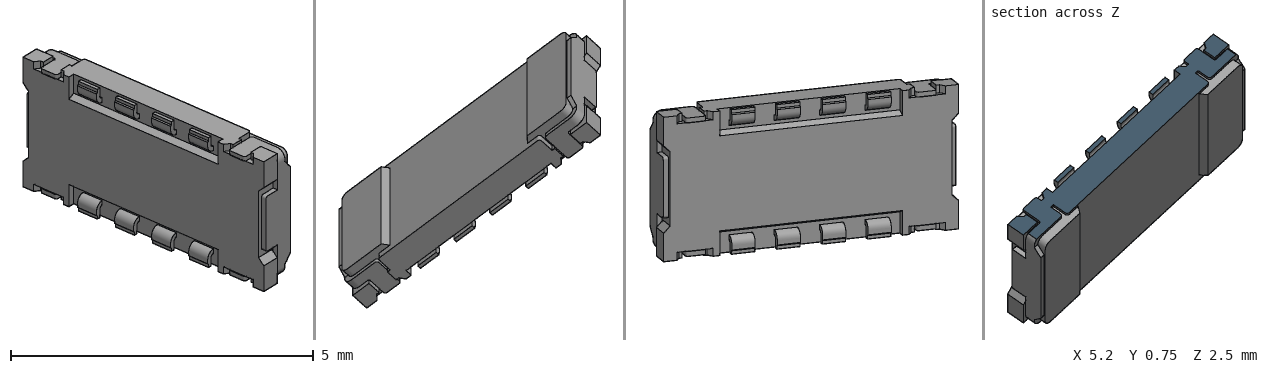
import cadquery as cq
import math


base_length = 5.2
height = 2.5
base_depth = 0.345
body_half_length = 1.80
body_depth = 0.614
body_corner_radius = 0.05
shoulder_half_length = 1.858
shoulder_depth = 0.31
core_half_length = 2.485
core_half_height = 1.112

frame_half_length = 2.58
frame_half_height = 1.198
frame_front = 0.376
frame_back = 0.565
frame_bend_radius = 0.17
frame_corner_radius = 0.05

leg_inner_x = shoulder_half_length
leg_outer_x = 2.208
leg_tip_y = -0.02
leg_tip_radius = 0.04
leg_clearance = 0.03
leg_root_radius = 0.03

relief_depth = 0.095
relief_outer_x = 2.298
relief_inner_x = 1.797
relief_taper = 0.07

plate_half_length = 2.495
plate_half_height = core_half_height
plate_back = 0.73
plate_corner_radius = 0.13
plate_inner_x = 1.62
plate_foot_x = 1.53

skin_back = 0.707
skin_half_height = 0.99
skin_bevel = 0.16
tab_front = 0.075
tab_half_height = 0.53
tab_corner_radius = 0.045
end_recess_half_height = 0.64

pocket_half_length = 1.61
pocket_depth = 0.125
pocket_floor_z = 0.882
pocket_front_z = 0.822
contact_count = 4
contact_pitch = 0.8
contact_width = 0.41
contact_front = -0.02
contact_tip_front = 0.0
contact_back = 0.066
contact_step_z = 1.19
contact_bend_z = 1.093
contact_outer_radius = pocket_depth - contact_front
contact_inner_radius = pocket_depth - contact_back

half_length = base_length / 2
half_height = height / 2
overlap = 0.02
sides = (-1, 1)


def span_box(x_range, y_range, z_range):
    """Axis-aligned box between the given limits."""
    lower = cq.Vector(x_range[0], y_range[0], z_range[0])
    upper = cq.Vector(x_range[1], y_range[1], z_range[1])
    size = upper - lower
    return cq.Workplane("XY").box(size.x, size.y, size.z, centered=False).translate(lower)


def centred_block(half_x, y_range, half_z):
    """Box centred on the Y axis."""
    return span_box((-half_x, half_x), y_range, (-half_z, half_z))


def extrude_along_z(points, z_range):
    """Prism from an X-Y outline between two heights."""
    start, end = z_range
    return cq.Workplane("XY", origin=(0, 0, start)).polyline(points).close().extrude(end - start)


def mirrored_x(shape):
    return shape.union(shape.mirror("YZ"))


def mirrored_z(shape):
    return shape.union(shape.mirror("XY"))


def make_housing():
    base = centred_block(half_length, (0, base_depth), half_height)
    body = centred_block(body_half_length, (0, body_depth), half_height)
    body = body.edges("|Z and >Y").fillet(body_corner_radius)
    return base.union(body)


def make_end_recess():
    """Recess in the +X end face, with 45 degree side walls."""
    mouth_half_height = end_recess_half_height + half_length - core_half_length
    outline = [
        (core_half_length, -end_recess_half_height),
        (half_length, -mouth_half_height),
        (half_length, mouth_half_height),
        (core_half_length, end_recess_half_height),
    ]
    return cq.Workplane("XZ").polyline(outline).close().extrude(-base_depth)


def make_leg_window():
    """Opening for the leg at +X +Z, widening towards the front face."""
    z_range = (core_half_height, half_height)
    window_outer_x = leg_outer_x + leg_clearance
    slot = span_box((leg_inner_x, window_outer_x), (0, frame_front), z_range)
    shoulder_gap = span_box((body_half_length, leg_inner_x), (shoulder_depth, frame_front), z_range)
    relief = extrude_along_z(
        [
            (relief_inner_x, relief_depth),
            (relief_outer_x, relief_depth),
            (relief_outer_x + relief_taper, 0),
            (relief_inner_x - relief_taper, 0),
        ],
        z_range,
    )
    return slot.union(shoulder_gap).union(relief)


def make_pocket():
    """Contact pocket along the top edge, with a sloping lower wall."""
    outline = [
        (0, pocket_front_z),
        (pocket_depth, pocket_floor_z),
        (pocket_depth, half_height),
        (0, half_height),
    ]
    pocket = cq.Workplane("YZ", origin=(-pocket_half_length, 0, 0)).polyline(outline).close()
    return pocket.extrude(2 * pocket_half_length)


def make_contact(x):
    """Bent contact: a leg out of the pocket floor, a quarter bend and a stepped tip."""
    step_height = contact_tip_front - contact_front
    diagonal = math.sqrt(0.5)
    outer_mid = (
        pocket_depth - contact_outer_radius * diagonal,
        contact_bend_z - contact_outer_radius * diagonal,
    )
    inner_mid = (
        pocket_depth - contact_inner_radius * diagonal,
        contact_bend_z - contact_inner_radius * diagonal,
    )
    outer_leg_z = contact_bend_z - contact_outer_radius
    inner_leg_z = contact_bend_z - contact_inner_radius
    root_y = pocket_depth + overlap
    profile = (
        cq.Workplane("YZ", origin=(x - contact_width / 2, 0, 0))
        .moveTo(contact_tip_front, half_height)
        .lineTo(contact_tip_front, contact_step_z)
        .lineTo(contact_front, contact_step_z - step_height)
        .lineTo(contact_front, contact_bend_z)
        .threePointArc(outer_mid, (pocket_depth, outer_leg_z))
        .lineTo(root_y, outer_leg_z)
        .lineTo(root_y, inner_leg_z)
        .lineTo(pocket_depth, inner_leg_z)
        .threePointArc(inner_mid, (contact_back, contact_bend_z))
        .lineTo(contact_back, half_height)
        .close()
    )
    return profile.extrude(contact_width)


def round_edges_along_z(shape, x, y, radius):
    """Fillet every edge parallel to Z at the given X and Y."""
    nearby = cq.selectors.BoxSelector(
        (x - overlap, y - overlap, -half_height),
        (x + overlap, y + overlap, half_height),
    )
    return shape.edges("|Z").edges(nearby).fillet(radius)


def make_frame():
    """Both end frames, with their solder legs at +Z and -Z."""
    shell = centred_block(frame_half_length, (frame_front, frame_back), frame_half_height)
    shell = shell.edges("|Y").fillet(frame_bend_radius)
    middle = centred_block(leg_inner_x, (frame_front, frame_back), half_height)
    frame = shell.cut(middle)
    leg = span_box((leg_inner_x, leg_outer_x), (leg_tip_y, frame_back), (core_half_height, frame_half_height))
    leg = leg.edges("|Z and <Y").fillet(leg_tip_radius)
    frame = frame.union(mirrored_z(mirrored_x(leg)))
    for side in sides:
        frame = round_edges_along_z(frame, side * leg_inner_x, frame_back, frame_corner_radius)
        frame = round_edges_along_z(frame, side * leg_outer_x, frame_front, leg_root_radius)
    return frame


def make_back_plates():
    """Raised plates with rounded outer corners and a sloping inner end."""
    outline = [
        (plate_foot_x, body_depth),
        (plate_foot_x, frame_back - overlap),
        (plate_half_length, frame_back - overlap),
        (plate_half_length, plate_back),
        (plate_inner_x, plate_back),
    ]
    plate = extrude_along_z(outline, (-plate_half_height, plate_half_height))
    plate = plate.edges("|Y and >X").fillet(plate_corner_radius)
    return mirrored_x(plate)


def make_end_skin():
    """Bevelled cover over the +X end, with the tab reaching into the end recess."""
    bevel_start_z = skin_half_height - skin_bevel
    outline = [
        (frame_back - overlap, skin_half_height),
        (frame_back, skin_half_height),
        (skin_back, bevel_start_z),
        (skin_back, -bevel_start_z),
        (frame_back, -skin_half_height),
        (frame_back - overlap, -skin_half_height),
    ]
    thickness = frame_half_length - core_half_length
    inner_plane = cq.Workplane("YZ", origin=(core_half_length, 0, 0))
    skin = inner_plane.polyline(outline).close().extrude(thickness)
    tab = span_box(
        (core_half_length, frame_half_length),
        (tab_front, frame_front + overlap),
        (-tab_half_height, tab_half_height),
    )
    tab = tab.edges("|X and <Y").fillet(tab_corner_radius)
    return skin.union(tab)


def build():
    part = make_housing()
    part = part.cut(mirrored_x(make_end_recess()))
    part = part.cut(mirrored_z(mirrored_x(make_leg_window())))
    part = part.cut(mirrored_z(make_pocket()))

    core = centred_block(core_half_length, (base_depth - overlap, frame_back), core_half_height)
    part = part.union(core).union(make_frame()).union(make_back_plates())
    part = part.union(mirrored_x(make_end_skin()))

    for index in range(contact_count):
        x = (index - (contact_count - 1) / 2) * contact_pitch
        part = part.union(mirrored_z(make_contact(x)))
    return part


result = build()